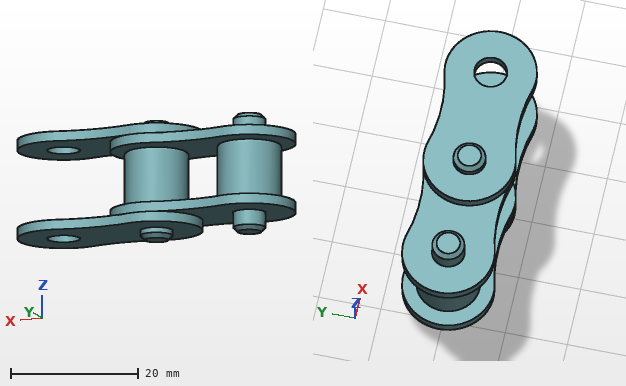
import cadquery as cq

total_length = 46.3
plate_width = 14.6
waist_width = 12.5
waist_start = 1.3
plate_thickness = 1.57
inner_plate_gap = 9.5

pin_diameter = 5.1
bore_diameter = 5.2
pin_length = 18.8
pin_chamfer = 0.7
roller_diameter = 10.15
roller_length = 9.1
roller_edge_radius = 0.45

end_radius = plate_width / 2
pitch = (total_length - plate_width) / 2
inner_link_x = -pitch
outer_link_x = 0.0
pin_positions = [-pitch, 0.0]

inner_plate_z = (inner_plate_gap + plate_thickness) / 2
outer_plate_z = inner_plate_z + plate_thickness


def link_plate(start_x, center_z):
    """Plate with one hole at start_x and the other one pitch further along X."""
    shoulder_y = (end_radius**2 - waist_start**2) ** 0.5
    near_x = waist_start
    far_x = pitch - waist_start
    return (
        cq.Workplane("XY")
        .moveTo(near_x, shoulder_y)
        .threePointArc((pitch / 2, waist_width / 2), (far_x, shoulder_y))
        .threePointArc((pitch + end_radius, 0), (far_x, -shoulder_y))
        .threePointArc((pitch / 2, -waist_width / 2), (near_x, -shoulder_y))
        .threePointArc((-end_radius, 0), (near_x, shoulder_y))
        .close()
        .extrude(plate_thickness)
        .pushPoints([(0, 0), (pitch, 0)])
        .circle(bore_diameter / 2)
        .cutThruAll()
        .translate((start_x, 0, center_z - plate_thickness / 2))
    )


def link_pin(x):
    """Round pin with chamfered ends, running through both pairs of plates."""
    return (
        cq.Workplane("XY")
        .circle(pin_diameter / 2)
        .extrude(pin_length)
        .faces("|Z")
        .chamfer(pin_chamfer)
        .translate((x, 0, -pin_length / 2))
    )


def roller(x):
    """Sleeve around a pin, with rounded outer rims."""
    return (
        cq.Workplane("XY")
        .circle(roller_diameter / 2)
        .extrude(roller_length)
        .faces("|Z")
        .edges()
        .fillet(roller_edge_radius)
        .faces(">Z")
        .workplane()
        .circle(bore_diameter / 2)
        .cutThruAll()
        .translate((x, 0, -roller_length / 2))
    )


inner_plates = [link_plate(inner_link_x, side * inner_plate_z) for side in (-1, 1)]
outer_plates = [link_plate(outer_link_x, side * outer_plate_z) for side in (-1, 1)]
pins = [link_pin(x) for x in pin_positions]
rollers = [roller(x) for x in pin_positions]

bodies = inner_plates + outer_plates + pins + rollers
result = cq.Compound.makeCompound([body.val() for body in bodies])